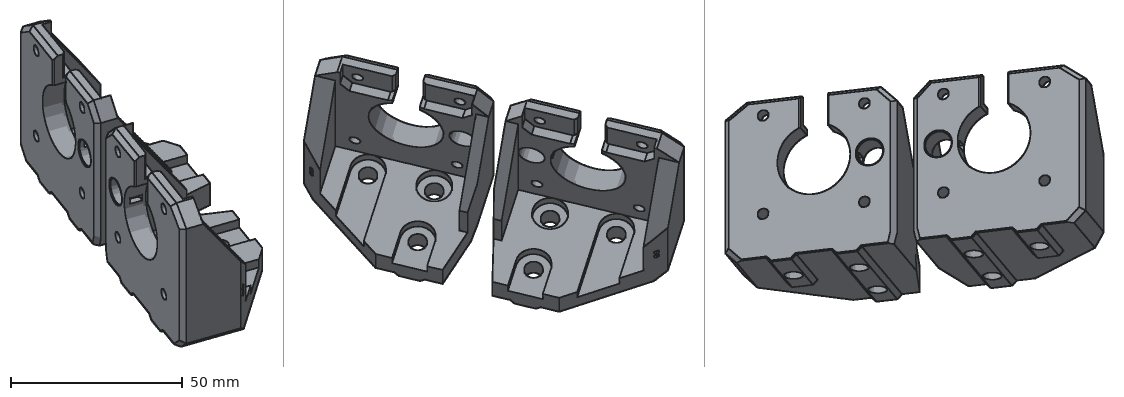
import cadquery as cq
import math


WIDTH = 52.5
DEPTH = 39.2
HEIGHT = 51.4
GAP = 5.1
INNER_X = 25.0
OUTER_X = INNER_X - WIDTH
BORE_X = -(GAP / 2 + INNER_X)

OUTER_TOP_RUN = 6.7
INNER_TOP_RUN = 5.0
TOP_CUT = 5.0
OUTER_BOTTOM_RUN = 3.5
INNER_BOTTOM_RUN = 0.9
BOTTOM_CUT = 3.5
FRONT_CHAMFER = 1.5
TOP_CHAMFER_DROP = 1.3
SMALL_CHAMFER = 0.3
SLOT_CHAMFER = 0.4

PAD_HEIGHT = 1.4
PAD_TIP_WIDTH = 6.4
PAD_ROOT_WIDTH = PAD_TIP_WIDTH + 2 * PAD_HEIGHT
BOTTOM_EDGE_Z = PAD_HEIGHT + SMALL_CHAMFER
OUTER_PAD_END_Y = 21.0

OUTER_SIDE_Y = 19.1
INNER_SIDE_Y = 19.5
BACK_OUTER_X = -0.2
BACK_INNER_X = 20.0

PLATE = 7.0
FLOOR_Z = 9.4
OUTER_WALL = 6.2
INNER_WALL = 3.8
WALL_BACK_Y = 25.0
WALL_BACK_Z = 20.6

BORE_D = 22.2
BORE_Z = 30.7
RIM_LENGTH = 1.0
RIM_FLARE = 0.2
SLOT_WIDTH = 8.2
MOTOR_PITCH = 30.9
MOTOR_HOLE_D = 3.3

RECESS_FRONT_Y = 4.1
RECESS_FLARE = 0.9
RECESS_HALF_WIDTH = 19.9
RECESS_CORNER = 2.9
RECESS_Z = 42.4
COLLAR_D = 25.7

ROD_D = 7.9
ROD_X = 17.0
SLIT_HEIGHT = 2.0
SLIT_FRONT_Y = 1.9
SLIT_BACK_Y = 5.8

SCREW_X = 10.0
SCREW_FRONT_Y = 12.3
SCREW_BACK_Y = 30.2
SCREW_D = 5.5
HEAD_D = 10.6
HEAD_DEPTH = 3.0

DOT_D = 1.5
DOT_DEPTH = 0.7
DOT_Y = 21.2
DOT_Z = (15.1, 17.3)


def box(x0, x1, y0, y1, z0, z1):
    """Block between two opposite corners."""
    return cq.Workplane("XY").box(x1 - x0, y1 - y0, z1 - z0, centered=False).translate((x0, y0, z0))


def prism_y(points, y0, y1):
    """Closed X-Z outline extruded from y0 to y1."""
    return cq.Workplane("XZ", origin=(0, y0, 0)).polyline(points).close().extrude(y0 - y1)


def rod_y(diameter, x, z, y0, y1):
    """Cylinder along Y."""
    return cq.Workplane("XZ", origin=(x, y0, z)).circle(diameter / 2).extrude(y0 - y1)


def cone_y(d0, d1, x, z, y0, y1):
    """Truncated cone along Y with diameter d0 at y0 and d1 at y1."""
    start = cq.Workplane("XZ", origin=(x, y0, z)).circle(d0 / 2)
    return start.workplane(offset=y0 - y1).circle(d1 / 2).loft()


def top_front_edge():
    """Wedge that bevels the top front edge."""
    points = [(0, HEIGHT - TOP_CHAMFER_DROP), (0, HEIGHT), (FRONT_CHAMFER, HEIGHT)]
    profile = cq.Workplane("YZ", origin=(OUTER_X, 0, 0)).polyline(points).close()
    return profile.extrude(WIDTH)


def chamfer_front_edges(solid, z0, z1, size):
    """Chamfer the front face edges whose middles lie between two heights."""
    zone = cq.selectors.BoxSelector((-WIDTH, -size, z0), (WIDTH, size, z1))
    return solid.faces("<Y").edges(zone).chamfer(size)


def blank():
    """Front outline with pads, run through the whole depth, with its front edges chamfered."""
    points = [
        (OUTER_X, PAD_HEIGHT + BOTTOM_CUT),
        (OUTER_X, HEIGHT - TOP_CUT),
        (OUTER_X + OUTER_TOP_RUN, HEIGHT),
        (INNER_X - INNER_TOP_RUN, HEIGHT),
        (INNER_X, HEIGHT - TOP_CUT),
        (INNER_X, PAD_HEIGHT + BOTTOM_CUT),
        (INNER_X - INNER_BOTTOM_RUN, PAD_HEIGHT),
    ]
    for x in (SCREW_X, -SCREW_X):
        points += [
            (x + PAD_ROOT_WIDTH / 2, PAD_HEIGHT),
            (x + PAD_TIP_WIDTH / 2, 0),
            (x - PAD_TIP_WIDTH / 2, 0),
            (x - PAD_ROOT_WIDTH / 2, PAD_HEIGHT),
        ]
    points.append((OUTER_X + OUTER_BOTTOM_RUN, PAD_HEIGHT))
    solid = prism_y(points, 0, DEPTH)
    solid = chamfer_front_edges(solid, BOTTOM_EDGE_Z, HEIGHT - SMALL_CHAMFER, FRONT_CHAMFER)
    solid = chamfer_front_edges(solid, -SMALL_CHAMFER, BOTTOM_EDGE_Z, SMALL_CHAMFER)
    outer_pad_tail = box(OUTER_X, 0, OUTER_PAD_END_Y, DEPTH, 0, PAD_HEIGHT)
    return solid.cut(top_front_edge()).cut(outer_pad_tail)


def footprint():
    """Plan shape with the two sloping sides."""
    points = [
        (OUTER_X, 0),
        (INNER_X, 0),
        (INNER_X, INNER_SIDE_Y),
        (BACK_INNER_X, DEPTH),
        (BACK_OUTER_X, DEPTH),
        (OUTER_X, OUTER_SIDE_Y),
    ]
    return cq.Workplane("XY").polyline(points).close().extrude(HEIGHT)


def wall_relief():
    """Space above the sloping tops of the side walls and above the back of the base."""
    points = [
        (PLATE, HEIGHT),
        (PLATE, HEIGHT - TOP_CUT),
        (WALL_BACK_Y, WALL_BACK_Z),
        (WALL_BACK_Y, FLOOR_Z),
        (DEPTH, FLOOR_Z),
        (DEPTH, HEIGHT),
    ]
    profile = cq.Workplane("YZ", origin=(OUTER_X, 0, 0)).polyline(points).close()
    return profile.extrude(WIDTH)


def motor_space():
    """Space between the side walls, behind the plate and above the base."""
    return box(OUTER_X + OUTER_WALL, INNER_X - INNER_WALL, PLATE, DEPTH, FLOOR_Z, HEIGHT)


def recess():
    """Recess behind the top of the plate, stopping at the collar around the bore."""
    points = [
        (-RECESS_HALF_WIDTH, HEIGHT),
        (-RECESS_HALF_WIDTH, RECESS_Z + RECESS_CORNER),
        (-RECESS_HALF_WIDTH + RECESS_CORNER, RECESS_Z),
        (RECESS_HALF_WIDTH - RECESS_CORNER, RECESS_Z),
        (RECESS_HALF_WIDTH, RECESS_Z + RECESS_CORNER),
        (RECESS_HALF_WIDTH, HEIGHT),
    ]
    pocket = prism_y(points, RECESS_FRONT_Y, PLATE)
    flare_front_y = RECESS_FRONT_Y - RECESS_FLARE
    pocket = pocket.union(slot_flare(RECESS_FRONT_Y, flare_front_y))
    return pocket.cut(rod_y(COLLAR_D, 0, BORE_Z, flare_front_y, PLATE))


def slot_flare(y_wide, y_narrow):
    """Chamfer cutter for both edges of the slot, widest at y_wide."""
    half_width = SLOT_WIDTH / 2
    flare = abs(y_wide - y_narrow)
    points = [
        (-half_width - flare, y_wide),
        (half_width + flare, y_wide),
        (half_width, y_narrow),
        (-half_width, y_narrow),
    ]
    return cq.Workplane("XY", origin=(0, 0, BORE_Z)).polyline(points).close().extrude(HEIGHT - BORE_Z)


def bore_and_slot():
    """Motor bore, open at the top through a slot, with chamfered front slot edges and a flared back rim."""
    half = SLOT_WIDTH / 2
    cutter = rod_y(BORE_D, 0, BORE_Z, 0, PLATE)
    cutter = cutter.union(box(-half, half, 0, PLATE, BORE_Z, HEIGHT))
    cutter = cutter.union(cone_y(BORE_D, BORE_D + 2 * RIM_FLARE, 0, BORE_Z, PLATE - RIM_LENGTH, PLATE))
    return cutter.union(slot_flare(0, SLOT_CHAMFER))


def motor_holes():
    """Four motor screw holes through the plate."""
    spots = cq.Workplane("XZ", origin=(0, 0, BORE_Z)).rect(MOTOR_PITCH, MOTOR_PITCH, forConstruction=True)
    return spots.vertices().circle(MOTOR_HOLE_D / 2).extrude(-PLATE)


def rod_hole():
    """Rod hole with a chamfered front rim and the slit that opens it into the bore."""
    hole = rod_y(ROD_D, ROD_X, BORE_Z, 0, DEPTH)
    rim = cone_y(ROD_D + 2 * SMALL_CHAMFER, ROD_D, ROD_X, BORE_Z, 0, SMALL_CHAMFER)
    slit = box(0, ROD_X, SLIT_FRONT_Y, SLIT_BACK_Y, BORE_Z - SLIT_HEIGHT / 2, BORE_Z + SLIT_HEIGHT / 2)
    return hole.union(rim).union(slit)


def base_screw(x, y, open_to_back):
    """Base screw hole with a head recess, which can run out through the back."""
    seat_z = FLOOR_Z - HEAD_DEPTH
    cutter = cq.Workplane("XY").circle(SCREW_D / 2).extrude(FLOOR_Z).translate((x, y, 0))
    head = cq.Workplane("XY").circle(HEAD_D / 2).extrude(HEAD_DEPTH).translate((x, y, seat_z))
    cutter = cutter.union(head)
    if open_to_back:
        cutter = cutter.union(box(x - HEAD_D / 2, x + HEAD_D / 2, y, DEPTH, seat_z, FLOOR_Z))
    return cutter


def dots():
    """Two small blind holes square to the sloping outer side."""
    run = BACK_OUTER_X - OUTER_X
    rise = DEPTH - OUTER_SIDE_Y
    x = OUTER_X + (DOT_Y - OUTER_SIDE_Y) * run / rise
    length = math.hypot(run, rise)
    inward = cq.Vector(rise / length, -run / length, 0)
    return [cq.Solid.makeCylinder(DOT_D / 2, DOT_DEPTH, cq.Vector(x, DOT_Y, z), inward) for z in DOT_Z]


def bracket():
    """One motor bracket, left-hand version."""
    body = blank().intersect(footprint()).cut(wall_relief()).cut(motor_space()).cut(recess())
    body = body.cut(bore_and_slot()).cut(motor_holes()).cut(rod_hole())
    body = body.cut(base_screw(SCREW_X, SCREW_FRONT_Y, False))
    body = body.cut(base_screw(SCREW_X, SCREW_BACK_Y, True))
    body = body.cut(base_screw(-SCREW_X, SCREW_FRONT_Y, True))
    for dot in dots():
        body = body.cut(cq.Workplane(dot))
    return body.translate((BORE_X, 0, 0))


left_bracket = bracket()
brackets = [left_bracket, left_bracket.mirror("YZ")]

result = cq.Compound.makeCompound([body.val() for body in brackets])